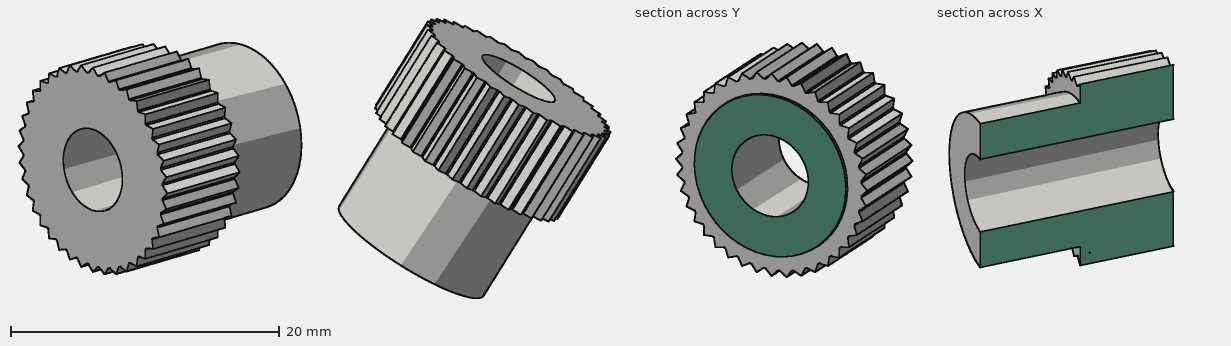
import cadquery as cq
import math

tooth_count = 40
tip_radius = 8.0
tooth_depth = 0.5
tooth_tip_angle = 90.0
gear_length = 7.5
hub_diameter = 12.7
hub_length = 8.0
bore_diameter = 6.35

root_radius = tip_radius - tooth_depth
tooth_pitch = 2 * math.pi / tooth_count
total_length = gear_length + hub_length


def flank_root_angle():
    """Angle about the axis from a tooth tip to where its flank meets the root circle."""
    half_tip_angle = math.radians(tooth_tip_angle / 2)
    angle_at_foot = math.pi - math.asin(tip_radius * math.sin(half_tip_angle) / root_radius)
    return math.pi - half_tip_angle - angle_at_foot


def polar_point(radius, angle):
    return (radius * math.cos(angle), radius * math.sin(angle))


def make_toothed_wheel():
    """V-shaped teeth with straight flanks, separated by short arcs on the root circle."""
    flank_angle = flank_root_angle()
    outline = cq.Workplane("XZ").moveTo(*polar_point(tip_radius, 0))
    for tooth in range(tooth_count):
        tip_angle = tooth * tooth_pitch
        next_tip_angle = tip_angle + tooth_pitch
        root_start = polar_point(root_radius, tip_angle + flank_angle)
        root_middle = polar_point(root_radius, tip_angle + tooth_pitch / 2)
        root_end = polar_point(root_radius, next_tip_angle - flank_angle)
        outline = outline.lineTo(*root_start).threePointArc(root_middle, root_end)
        if tooth < tooth_count - 1:
            outline = outline.lineTo(*polar_point(tip_radius, next_tip_angle))
    return outline.close().extrude(-gear_length)


def make_shaft(diameter, start_y, length):
    """Cylinder along Y, from start_y toward +Y."""
    axis_start = cq.Vector(0, start_y, 0)
    axis_direction = cq.Vector(0, 1, 0)
    cylinder = cq.Solid.makeCylinder(diameter / 2, length, axis_start, axis_direction)
    return cq.Workplane("XY").newObject([cylinder])


wheel = make_toothed_wheel()
hub = make_shaft(hub_diameter, gear_length, hub_length)
bore = make_shaft(bore_diameter, 0, total_length)

result = wheel.union(hub).cut(bore)